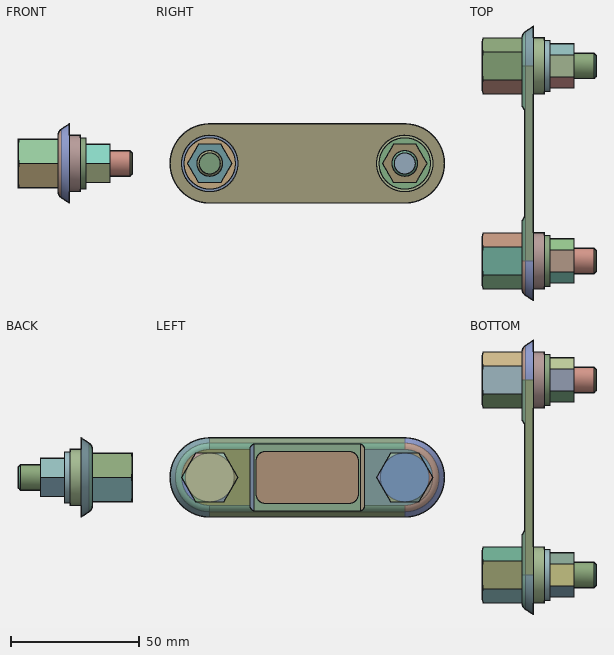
import cadquery as cq
import math


bolt_spacing = 76.0
plate_width = 31.0
plate_length = bolt_spacing + plate_width
plate_thickness = 4.5
bevel_inset = 3.0
bevel_angle = math.degrees(math.atan2(bevel_inset, plate_thickness))
bevel_blend_radius = 3.0

band_depth = 1.0
band_floor_length = 41.6
band_slope_run = 1.6

pocket_length = 39.8
pocket_width = 20.2
pocket_corner_radius = 3.5
pocket_depth = 2.0

head_across_flats = 19.0
head_height = 15.5
head_chamfer_height = 0.4
thread_diameter = 10.0
thread_chamfer = 0.9
thread_projection = 8.7

large_washer_diameter = 22.0
large_washer_thickness = 4.2
small_washer_diameter = 20.0
small_washer_thickness = 2.3
nut_across_flats = 15.0
nut_height = 9.3

small_washer_start = large_washer_thickness
nut_start = small_washer_start + small_washer_thickness
thread_end = nut_start + nut_height + thread_projection
head_end = -(plate_thickness + head_height)


def disc(diameter, start, length):
    """Cylinder along X, from X = start toward +X."""
    return cq.Workplane("YZ", origin=(start, 0, 0)).circle(diameter / 2).extrude(length)


def hexagon_corner_radius(across_flats):
    """Distance from the centre of a hexagon to its corners."""
    half_sector = math.pi / 6
    return across_flats / 2 / math.cos(half_sector)


def hexagon(across_flats, start, length):
    """Hexagonal prism along X with corners pointing along Y."""
    across_corners = 2 * hexagon_corner_radius(across_flats)
    return cq.Workplane("YZ", origin=(start, 0, 0)).polygon(6, across_corners).extrude(length)


def make_plate_blank():
    """Round-ended plate, bevelled all round, with the bevel blended into the front face."""
    blank = (
        cq.Workplane("ZY")
        .slot2D(plate_length, plate_width, 90)
        .extrude(plate_thickness, taper=bevel_angle)
    )
    return blank.faces("<X").edges().fillet(bevel_blend_radius)


def make_band_cutter():
    """Trapezoidal bar along Z that cuts the recessed band with sloped ends."""
    front = -plate_thickness
    floor = front + band_depth
    half_floor = band_floor_length / 2
    half_mouth = half_floor + band_slope_run
    outline = [
        (front, -half_mouth),
        (floor, -half_floor),
        (floor, half_floor),
        (front, half_mouth),
    ]
    return cq.Workplane("XY").polyline(outline).close().extrude(plate_width / 2, both=True)


def make_pocket_cutter():
    """Rounded rectangular block that cuts the pocket below the band floor."""
    pocket_floor = -plate_thickness + band_depth + pocket_depth
    return (
        cq.Workplane("ZY", origin=(pocket_floor, 0, 0))
        .rect(pocket_width, pocket_length)
        .extrude(pocket_depth)
        .edges("|X")
        .fillet(pocket_corner_radius)
    )


def make_head():
    """Hexagonal bolt head whose outer corners are turned down to the across-flats circle."""
    head = hexagon(head_across_flats, head_end, head_height)
    flats_radius = head_across_flats / 2
    corner_radius = hexagon_corner_radius(head_across_flats)
    turned_envelope = (
        cq.Workplane("XY")
        .moveTo(head_end, 0)
        .lineTo(head_end, flats_radius)
        .lineTo(head_end + head_chamfer_height, corner_radius)
        .lineTo(-plate_thickness, corner_radius)
        .lineTo(-plate_thickness, 0)
        .close()
        .revolve(360, (0, 0, 0), (1, 0, 0))
    )
    return head.intersect(turned_envelope)


def make_fastener():
    """Bolt with its two washers and nut, centred on the X axis."""
    shank_start = -plate_thickness
    shank = disc(thread_diameter, shank_start, thread_end - shank_start)
    shank = shank.faces(">X").chamfer(thread_chamfer)
    large_washer = disc(large_washer_diameter, 0, large_washer_thickness)
    small_washer = disc(small_washer_diameter, small_washer_start, small_washer_thickness)
    nut = hexagon(nut_across_flats, nut_start, nut_height)
    return make_head().union(shank).union(large_washer).union(small_washer).union(nut)


result = make_plate_blank().cut(make_band_cutter()).cut(make_pocket_cutter())
for side in (-1, 1):
    result = result.union(make_fastener().translate((0, side * bolt_spacing / 2, 0)))